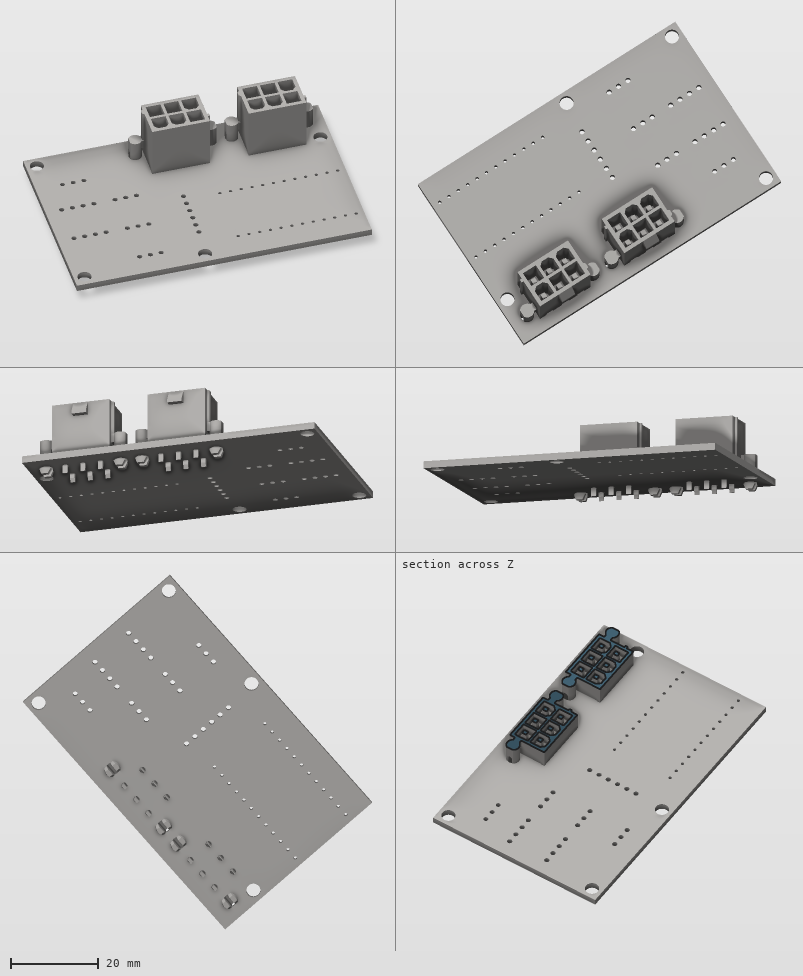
import cadquery as cq


board_width = 44.4
board_length = 69.85
board_thickness = 1.6
mount_diameter = 3.2
mount_inset = 2.5
mount_top_x = 10.75
mount_middle_y = 31.1

module_hole_diameter = 0.8
module_hole_rows = 12
module_length = 27.95
hole_pitch = module_length / (module_hole_rows - 1)
module_left_x = 22.9
module_row_gap = 6 * hole_pitch
module_bottom_y = 40.0

wide_hole_diameter = 1.2
narrow_hole_diameter = 1.1
strip_x = 21.65
strip_y = 31.8
strip_count = 6
terminal_x = 18.45
terminal_pitch = 4 * hole_pitch
upper_terminal_columns = 3
upper_terminal_rows = 3
upper_terminal_y = 16.5
lower_terminal_columns = 2
lower_terminal_rows = 4
lower_terminal_y = 3.85
sensor_x = 10.2
sensor_rows = 3
sensor_y = lower_terminal_y + hole_pitch

header_x = 7.6
header_top_y = 56.7
header_spacing = 22.85
header_count = 2
header_centres = [(header_x, header_top_y - i * header_spacing) for i in range(header_count)]

housing_width = 9.5
housing_length = 13.7
housing_height = 12.8
header_height = 16.3
standoff = 0.2
foot_width = 0.85
cavity_pitch = 4.2
cavity_size = 3.5
cavity_chamfer = 0.85
cavity_floor = 2.0
rows = (-1, 0, 1)
chamfered_cavities = [(-1, 1), (1, 0), (1, -1)]

latch_width = 3.5
latch_reach = 1.5
latch_slope_height = 2.4
latch_height = 3.15

key_x = 2.6
key_width = 0.8
key_depth = 0.5

peg_x = -2.45
peg_y = 8.9
peg_diameter = 3.2
shank_diameter = 3.0
peg_height = 4.8
peg_flat_width = 2.7
peg_half_flat = peg_flat_width / 2
peg_slot_width = 1.2
peg_slot_top = 1.9
barb_diameter = 3.7
barb_tip_diameter = 3.35
barb_tip_half_flat = 0.8
barb_top = -board_thickness - 0.35
peg_bottom = -board_thickness - 1.7
web_width = 1.8
web_bottom = 2.65
rib_depth = 0.5
rib_bevel = 0.4

pin_centre_x = -0.2
pin_width = 1.1
contact_inner = 1.5
contact_outer = 2.65
contact_top = 8.4
contact_bottom = 1.05
bend_height = 0.55
tail_inner = 2.45
tail_outer = 3.1
tail_taper = 0.4
tail_taper_start = -board_thickness - 1.0
tail_bottom = housing_height - header_height
pin_hole_diameter = 1.4
notch_width = 1.9
notch_height = 0.9


def box(x_min, x_max, y_min, y_max, z_min, z_max):
    """Axis-aligned block between the given limits."""
    size = (x_max - x_min, y_max - y_min, z_max - z_min)
    return cq.Workplane("XY").box(*size, centered=False).translate((x_min, y_min, z_min))


def side_profile(points, width, y_centre):
    """Outline in X and Z, extruded along Y and centred on y_centre."""
    shape = cq.Workplane("XZ").polyline(points).close().extrude(width / 2, both=True)
    return shape.translate((0, y_centre, 0))


def hole_column(x, y, count):
    """Points running up the board from (x, y), one hole pitch apart."""
    return [(x, y + i * hole_pitch) for i in range(count)]


def drill(board, points, diameter):
    """Board with through holes at the points."""
    holes = cq.Workplane("XY").pushPoints(points).circle(diameter / 2).extrude(-board_thickness)
    return board.cut(holes)


def tail_points():
    """Pin tail centres relative to the housing centre."""
    offset = (tail_inner + tail_outer) / 2
    return [(pin_centre_x + side * offset, row * cavity_pitch) for side in (-1, 1) for row in rows]


def make_board():
    board = box(0, board_width, 0, board_length, -board_thickness, 0)

    mounts = [
        (mount_inset, mount_inset),
        (board_width - mount_inset, mount_inset),
        (board_width - mount_inset, mount_middle_y),
        (mount_top_x, board_length - mount_inset),
    ]
    board = drill(board, mounts, mount_diameter)

    module_holes = []
    for x in (module_left_x, module_left_x + module_row_gap):
        module_holes += hole_column(x, module_bottom_y, module_hole_rows)
    board = drill(board, module_holes, module_hole_diameter)

    wide_holes = [(strip_x + i * hole_pitch, strip_y) for i in range(strip_count)]
    for i in range(upper_terminal_columns):
        wide_holes += hole_column(terminal_x + i * terminal_pitch, upper_terminal_y, upper_terminal_rows)
    for i in range(lower_terminal_columns):
        wide_holes += hole_column(terminal_x + i * terminal_pitch, lower_terminal_y, lower_terminal_rows)
    board = drill(board, wide_holes, wide_hole_diameter)
    board = drill(board, hole_column(sensor_x, sensor_y, sensor_rows), narrow_hole_diameter)

    for x, y in header_centres:
        pin_holes = [(x + dx, y + dy) for dx, dy in tail_points()]
        board = drill(board, pin_holes, pin_hole_diameter)
        board = drill(board, [(x + peg_x, y - peg_y), (x + peg_x, y + peg_y)], shank_diameter)
    return board


def make_cavity(side, row):
    """Contact cavity; some have their two +X corners chamfered so the plug fits one way only."""
    depth = housing_height - cavity_floor
    cavity = cq.Workplane("XY").box(cavity_size, cavity_size, depth, centered=(True, True, False))
    if (side, row) in chamfered_cavities:
        cavity = cavity.edges("|Z and >X").chamfer(cavity_chamfer)
    return cavity.translate((side * cavity_pitch / 2, row * cavity_pitch, cavity_floor))


def make_latch():
    """Wedge on the -X wall that catches the plug."""
    wall = -housing_width / 2
    points = [
        (wall, housing_height),
        (wall - latch_reach, housing_height - latch_slope_height),
        (wall - latch_reach, housing_height - latch_height),
        (wall, housing_height - latch_height),
    ]
    return side_profile(points, latch_width, 0)


def make_rib():
    """Bevelled upright rib on the -Y wall, standing on the web of the peg."""
    wall = -housing_length / 2
    half_base = web_width / 2
    half_top = half_base - rib_bevel
    points = [
        (peg_x - half_base, wall),
        (peg_x - half_top, wall - rib_depth),
        (peg_x + half_top, wall - rib_depth),
        (peg_x + half_base, wall),
    ]
    rib = cq.Workplane("XY").polyline(points).close().extrude(housing_height - web_bottom)
    return rib.translate((0, 0, web_bottom))


def make_peg():
    """Split snap-in peg on the Z axis, flattened towards +Y and -Y, with a barb below the board."""
    profile = [
        (0, peg_height),
        (peg_diameter / 2, peg_height),
        (peg_diameter / 2, 0),
        (shank_diameter / 2, 0),
        (shank_diameter / 2, barb_top),
        (barb_diameter / 2, barb_top),
        (barb_tip_diameter / 2, peg_bottom),
        (0, peg_bottom),
    ]
    peg = cq.Workplane("XZ").polyline(profile).close().revolve(360, (0, 0, 0), (0, 1, 0))

    flats = [
        (-peg_half_flat, peg_height),
        (peg_half_flat, peg_height),
        (peg_half_flat, barb_top),
        (barb_tip_half_flat, peg_bottom),
        (-barb_tip_half_flat, peg_bottom),
        (-peg_half_flat, barb_top),
    ]
    envelope = cq.Workplane("YZ").polyline(flats).close().extrude(barb_diameter, both=True)
    peg = peg.intersect(envelope)

    half_slot = peg_slot_width / 2
    slot = (
        cq.Workplane("XZ")
        .moveTo(-half_slot, peg_bottom)
        .lineTo(-half_slot, peg_slot_top - half_slot)
        .threePointArc((0, peg_slot_top), (half_slot, peg_slot_top - half_slot))
        .lineTo(half_slot, peg_bottom)
        .close()
        .extrude(peg_diameter, both=True)
    )
    return peg.cut(slot)


def make_pin(side, row):
    """Contact pin with its tail bent outwards; side is -1 or 1 in X."""
    outline = [
        (contact_inner, contact_top),
        (contact_outer, contact_top),
        (contact_outer, cavity_floor + bend_height),
        (tail_outer, cavity_floor),
        (tail_outer, tail_bottom),
        (tail_inner + tail_taper, tail_bottom),
        (tail_inner, tail_taper_start),
        (tail_inner, contact_bottom),
        (contact_inner, contact_bottom),
    ]
    points = [(pin_centre_x + side * x, z) for x, z in outline]
    return side_profile(points, pin_width, row * cavity_pitch)


def make_header():
    half_width = housing_width / 2
    half_length = housing_length / 2
    header = box(-half_width, half_width, -half_length, half_length, 0, housing_height)
    header = header.union(make_latch()).union(make_rib())

    key = box(
        key_x - key_width / 2, key_x + key_width / 2,
        half_length, half_length + key_depth,
        0, housing_height,
    )
    header = header.union(key)

    channel_half = half_width - foot_width
    channel_reach = half_length + key_depth
    header = header.cut(
        box(-channel_half, channel_half, -channel_reach, channel_reach, 0, standoff)
    )

    half_web = web_width / 2
    web = box(peg_x - half_web, peg_x + half_web, -peg_y, peg_y, web_bottom, peg_height)
    header = header.union(web)
    for side in (-1, 1):
        header = header.union(make_peg().translate((peg_x, side * peg_y, 0)))

    notch_end = pin_centre_x - tail_inner
    for row in rows:
        y = row * cavity_pitch
        notch = box(-half_width, notch_end, y - notch_width / 2, y + notch_width / 2, 0, notch_height)
        header = header.cut(notch)

    for side in (-1, 1):
        for row in rows:
            header = header.cut(make_cavity(side, row)).union(make_pin(side, row))
    return header


board = make_board()
headers = [make_header().translate((x, y, 0)) for x, y in header_centres]

result = cq.Compound.makeCompound(
    [board.solids().val(), *[header.solids().val() for header in headers]]
)